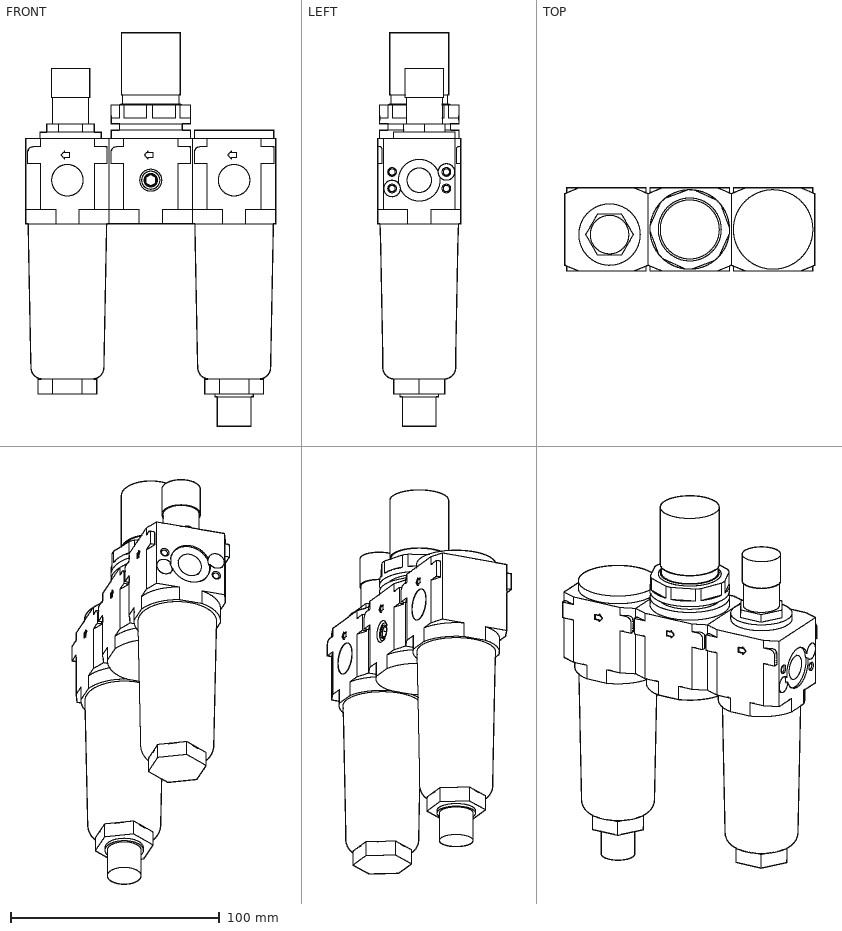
import cadquery as cq
import math

PITCH = 120.0 / 3
DEPTH = 40.0
HALF = DEPTH / 2
BLOCK_H = 41.0
CORNER_X, CORNER_Y = 7.0, 2.8
FOOT_R, FOOT_H = 20.8, 7.0
PORT_Z = 21.0

PLATE_L, PLATE_T = 38.2, 2.3
PLATE_Z0, PLATE_Z1 = 29.0, 37.0
PLATE_R = 2.6
ARROW_L, ARROW_HEAD, ARROW_W, ARROW_SHAFT, ARROW_DEPTH = 4.2, 1.7, 3.8, 2.5, 0.5
ARROW_X, ARROW_Z = -1.0, 33.0

MARK_R, MARK_DEPTH = 7.5, 0.2

BOWL_TOP_R, BOWL_LOW_R, BOWL_TAPER, BOWL_ROUND = 18.9, 17.5, 68.8, 5.7
BOWL_NUT_D, BOWL_NUT_H = 28.4, 7.2
BOWL_DEPTH = BOWL_TAPER + BOWL_ROUND + BOWL_NUT_H
COLLAR_R, COLLAR_H = 9.3, 1.3
DRAIN_R, DRAIN_END = 8.1, 97.1

CAP_R, CAP_H = 19.0, 4.0

ADJ_X, ADJ_Y = 1.5, -2.5
ADJ_BASE_R, ADJ_BASE_H = 14.7, 3.0
ADJ_HEX_D, ADJ_HEX_TOP = 22.9, 7.0
ADJ_STEM_R, ADJ_STEM_TOP = 8.7, 19.7
ADJ_KNOB_R, ADJ_KNOB_TOP = 9.3, 33.6

INLET_R, INLET_DEPTH = 5.9, 22.7
SEAL_R, SEAL_DEPTH = 10.0, 1.1
BOLT_Y, BOLT_Z = 13.0, 4.0
BOLT_BORE_R, BOLT_BORE_DEPTH = 4.0, 11.3
BOLT_MOUTH_R, BOLT_R, BOLT_DEPTH = 2.0, 1.5, 7.5

NECK_R, NECK_RIM_R, NECK_RIM_H = 15.1, 14.2, 0.5
NUT_BOTTOM, NUT_FLANGE, NUT_TOP = 7.0, 2.8, 16.0
NUT_R, NUT_FLATS, NUT_ACROSS = 19.0, 8, 36.3
NUT_TURN = 180 / NUT_FLATS - 2
STEM_R, STEM_TOP = 13.6, 21.0
KNOB_R, KNOB_TOP = 14.2, 50.8

PLUG_R, PLUG_L = 4.3, 7.5
PLUG_MOUTH_R = 5.3
PLUG_SINK = PLUG_MOUTH_R - PLUG_R
SOCKET_D, SOCKET_DEPTH = 5.5, 5.7
SOCKET_TURN = 30
SOCKET_MOUTH_R = 3.2


def disc(radius, z0, z1, x=0.0, y=0.0):
    return cq.Workplane("XY", origin=(x, y, z0)).circle(radius).extrude(z1 - z0)


def hexagon(diameter, z0, z1, x=0.0, y=0.0):
    return cq.Workplane("XY", origin=(x, y, z0)).polygon(6, diameter).extrude(z1 - z0)


def front_bore(radius, depth, start=0.0):
    """Cylinder on the port axis, running inwards from a depth below the front face."""
    return cq.Workplane("XZ", origin=(0, start - HALF, PORT_Z)).circle(radius).extrude(-depth)


def front_countersink(outer_r, inner_r, start=0.0):
    """45-degree cone on the port axis, widening towards the front."""
    mouth, inward = cq.Vector(0, start - HALF, PORT_Z), cq.Vector(0, 1, 0)
    return cq.Workplane(cq.Solid.makeCone(outer_r, inner_r, outer_r - inner_r, mouth, inward))


def arrow():
    tip, neck, tail = -ARROW_L / 2, -ARROW_L / 2 + ARROW_HEAD, ARROW_L / 2
    return (
        cq.Workplane("XZ", origin=(ARROW_X, -HALF, ARROW_Z))
        .moveTo(tip, 0)
        .lineTo(neck, ARROW_W / 2)
        .lineTo(neck, ARROW_SHAFT / 2)
        .lineTo(tail, ARROW_SHAFT / 2)
        .lineTo(tail, -ARROW_SHAFT / 2)
        .lineTo(neck, -ARROW_SHAFT / 2)
        .lineTo(neck, -ARROW_W / 2)
        .close()
        .extrude(-ARROW_DEPTH)
    )


def block():
    """Bevelled square block on a rounded foot, with a label plate front and back."""
    w, f = PITCH / 2, PITCH / 2 - CORNER_X
    s = HALF - CORNER_Y
    outline = [(-w, -s), (-f, -HALF), (f, -HALF), (w, -s), (w, s), (f, HALF), (-f, HALF), (-w, s)]
    upper = cq.Workplane("XY", origin=(0, 0, FOOT_H)).polyline(outline).close().extrude(BLOCK_H - FOOT_H)
    foot = cq.Workplane("XY").rect(PITCH, DEPTH).extrude(FOOT_H).intersect(disc(FOOT_R, 0, FOOT_H))
    body = upper.union(foot)
    plate = (
        cq.Workplane("XY", origin=(0, PLATE_T / 2 - HALF, PLATE_Z0))
        .box(PLATE_L, PLATE_T, PLATE_Z1 - PLATE_Z0, centered=(True, True, False))
        .edges("|Y and <X and >Z")
        .fillet(PLATE_R)
    )
    for side in (plate, plate.mirror("XZ")):
        body = body.union(side)
    return body.cut(arrow()).cut(arrow().mirror("XZ"))


def bowl():
    """Tapered bowl with a rounded bottom edge and a hexagonal nut below."""
    floor = -BOWL_TAPER - BOWL_ROUND
    flat_r = BOWL_LOW_R - BOWL_ROUND
    mid = BOWL_ROUND * math.sqrt(0.5)
    shell = (
        cq.Workplane("XZ")
        .moveTo(0, 0)
        .lineTo(BOWL_TOP_R, 0)
        .lineTo(BOWL_LOW_R, -BOWL_TAPER)
        .threePointArc((flat_r + mid, -BOWL_TAPER - mid), (flat_r, floor))
        .lineTo(0, floor)
        .close()
        .revolve(360, (0, 0), (0, 1))
    )
    return shell.union(hexagon(BOWL_NUT_D, -BOWL_DEPTH, floor))


def inlet_bore(radius, depth, y=0.0, z=0.0):
    return cq.Workplane("YZ", origin=(-PITCH / 2, y, PORT_Z + z)).circle(radius).extrude(depth)


def bolt_hole(y, z, start):
    """Blind hole with a countersunk mouth and a conical tip, starting below the inlet face."""
    cone = BOLT_MOUTH_R - BOLT_R
    return (
        cq.Workplane("XY")
        .moveTo(start, 0)
        .lineTo(start, BOLT_MOUTH_R)
        .lineTo(start + cone, BOLT_R)
        .lineTo(start + BOLT_DEPTH, BOLT_R)
        .lineTo(start + BOLT_DEPTH + BOLT_R, 0)
        .close()
        .revolve(360, (0, 0), (1, 0))
        .translate((-PITCH / 2, y, PORT_Z + z))
    )


def lubricator():
    base, hex_top = BLOCK_H + ADJ_BASE_H, BLOCK_H + ADJ_HEX_TOP
    stem_top, knob_top = BLOCK_H + ADJ_STEM_TOP, BLOCK_H + ADJ_KNOB_TOP
    body = block().union(bowl())
    body = body.union(disc(ADJ_BASE_R, BLOCK_H, base, ADJ_X, ADJ_Y))
    body = body.union(hexagon(ADJ_HEX_D, base, hex_top, ADJ_X, ADJ_Y))
    body = body.union(disc(ADJ_STEM_R, hex_top, stem_top, ADJ_X, ADJ_Y))
    body = body.union(disc(ADJ_KNOB_R, stem_top, knob_top, ADJ_X, ADJ_Y))
    body = body.cut(front_bore(MARK_R, MARK_DEPTH))
    body = body.cut(inlet_bore(INLET_R, INLET_DEPTH)).cut(inlet_bore(SEAL_R, SEAL_DEPTH))
    for side in (-1, 1):
        y, z = side * BOLT_Y, side * BOLT_Z
        body = body.cut(bolt_hole(y, z, 0))
        body = body.cut(inlet_bore(BOLT_BORE_R, BOLT_BORE_DEPTH, y, -z))
        body = body.cut(bolt_hole(y, -z, BOLT_BORE_DEPTH))
    return body


def filter_unit():
    collar_end = -BOWL_DEPTH - COLLAR_H
    body = block().union(bowl())
    body = body.union(disc(CAP_R, BLOCK_H, BLOCK_H + CAP_H))
    body = body.union(disc(COLLAR_R, collar_end, -BOWL_DEPTH))
    body = body.union(disc(DRAIN_R, -DRAIN_END, collar_end))
    return body.cut(front_bore(MARK_R, MARK_DEPTH))


def regulator():
    neck_top = BLOCK_H + NUT_TOP + NECK_RIM_H
    neck = (
        disc(NECK_R, BLOCK_H, neck_top)
        .faces(">Z").edges()
        .chamfer(NECK_RIM_H, NECK_R - NECK_RIM_R)
    )
    body = block().union(disc(CAP_R, BLOCK_H, BLOCK_H + CAP_H)).union(neck)
    body = body.union(disc(STEM_R, neck_top, BLOCK_H + STEM_TOP))
    body = body.union(disc(KNOB_R, BLOCK_H + STEM_TOP, BLOCK_H + KNOB_TOP))
    return body.cut(front_bore(PLUG_R, PLUG_L, PLUG_SINK)).cut(front_countersink(PLUG_MOUTH_R, PLUG_R))


def panel_nut():
    """Round nut with eight flats above a plain flange, turned slightly on the neck."""
    bottom, top = BLOCK_H + NUT_BOTTOM, BLOCK_H + NUT_TOP
    flats = (
        cq.Workplane("XY", origin=(0, 0, bottom + NUT_FLANGE))
        .polygon(NUT_FLATS, NUT_ACROSS, circumscribed=True)
        .extrude(top - bottom - NUT_FLANGE)
        .rotate((0, 0, 0), (0, 0, 1), NUT_TURN)
    )
    ring = disc(NUT_R, bottom, bottom + NUT_FLANGE)
    grip = disc(NUT_R, bottom + NUT_FLANGE, top).intersect(flats)
    return ring.union(grip).cut(disc(NECK_R, bottom, top))


def plug():
    """Screw plug at the foot of the port countersink, with a hexagonal socket."""
    socket = (
        cq.Workplane("XZ", origin=(0, PLUG_SINK - HALF, PORT_Z))
        .transformed(rotate=(0, 0, SOCKET_TURN))
        .polygon(6, SOCKET_D)
        .extrude(-SOCKET_DEPTH)
    )
    sink = front_countersink(SOCKET_MOUTH_R, SOCKET_D / 2, PLUG_SINK)
    return front_bore(PLUG_R, PLUG_L, PLUG_SINK).cut(socket).cut(sink)


result = cq.Compound.makeCompound([
    lubricator().translate((-PITCH, 0, 0)).val(),
    regulator().val(),
    filter_unit().translate((PITCH, 0, 0)).val(),
    panel_nut().val(),
    plug().val(),
])